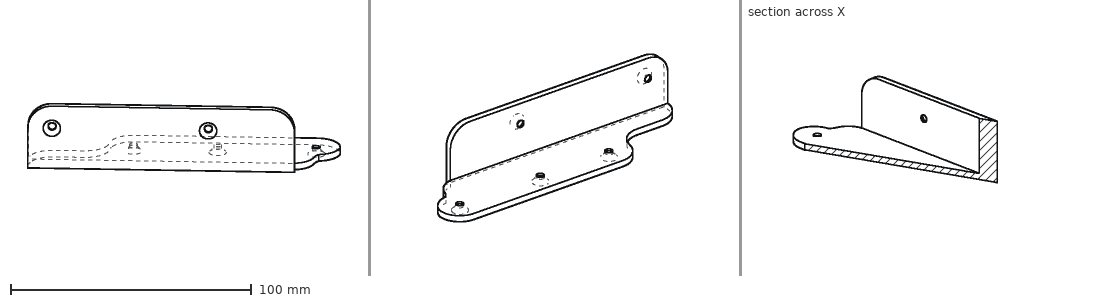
import cadquery as cq
import math

skew_angle = 20.9

thickness = 3.0
height = 28.0
wall_length = 111.0
round_radius = 10.0

hole_diameter = 3.2
countersink_diameter = 7.2
countersink_angle = 90
wall_hole_height = 18.0
wall_hole_stations = [round_radius, 75.1]
base_hole_stations = [43.0, 78.0, 119.1]

base_width = 31.0
stem_width = thickness + round_radius
base_hole_offset = base_width - round_radius
first_hole, last_hole = base_hole_stations[0], base_hole_stations[-1]

neck_center_v = stem_width + round_radius
neck_rise = neck_center_v - base_hole_offset
neck_center_u = first_hole - math.sqrt((2 * round_radius) ** 2 - neck_rise**2)
neck_end = ((neck_center_u + first_hole) / 2, (neck_center_v + base_hole_offset) / 2)

tab_tip = (last_hole + round_radius, base_hole_offset)
tab_middle = (126.3, 15.6)
tab_end = (120.5, 12.9)
shoulder_start = (118.6, 9.3)
shoulder_middle = (115.8, 5.0)
blend_middle = (119.4, 11.3)


def on_circle(center, radius, degrees):
    """Point on a circle, with the angle measured from U toward V."""
    angle = math.radians(degrees)
    return (center[0] + radius * math.cos(angle), center[1] + radius * math.sin(angle))


def make_base():
    stem_round_center = (round_radius, thickness)
    neck_center = (neck_center_u, neck_center_v)
    first_center = (first_hole, base_hole_offset)
    last_center = (last_hole, base_hole_offset)
    neck_tangent = math.degrees(math.atan2(-neck_rise, first_hole - neck_center_u))
    neck_middle = on_circle(neck_center, round_radius, (neck_tangent - 90) / 2)
    first_middle = on_circle(first_center, round_radius, (neck_tangent + 180 + 90) / 2)
    base = (
        cq.Workplane("XY")
        .moveTo(0, 0)
        .lineTo(0, thickness)
        .threePointArc(on_circle(stem_round_center, round_radius, 135), (round_radius, stem_width))
        .lineTo(neck_center_u, stem_width)
        .threePointArc(neck_middle, neck_end)
        .threePointArc(first_middle, (first_hole, base_width))
        .lineTo(last_hole, base_width)
        .threePointArc(on_circle(last_center, round_radius, 45), tab_tip)
        .threePointArc(tab_middle, tab_end)
        .threePointArc(blend_middle, shoulder_start)
        .threePointArc(shoulder_middle, (wall_length, thickness))
        .lineTo(wall_length, 0)
        .close()
        .extrude(thickness)
    )
    hole_centers = [(station, base_hole_offset) for station in base_hole_stations]
    return (
        base.faces("<Z")
        .workplane(origin=(0, 0, 0))
        .pushPoints([(u, -v) for u, v in hole_centers])
        .cskHole(hole_diameter, countersink_diameter, countersink_angle)
    )


def make_wall():
    wall = (
        cq.Workplane("XY")
        .box(wall_length, thickness, height, centered=False)
        .edges("|Y and >Z")
        .fillet(round_radius)
    )
    return (
        wall.faces("<Y")
        .workplane(origin=(0, 0, 0))
        .pushPoints([(station, wall_hole_height) for station in wall_hole_stations])
        .cskHole(hole_diameter, countersink_diameter, countersink_angle)
    )


bracket = make_base().union(make_wall())
result = bracket.rotate((0, 0, 0), (0, 0, 1), 90 - skew_angle)